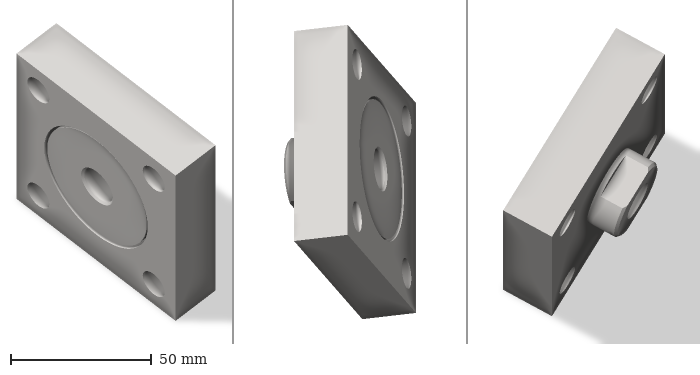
import cadquery as cq

plate_side = 80.0
plate_thickness = 20.0
front_y = 0.0
back_y = front_y + plate_thickness

corner_hole_diameter = 11.0
corner_hole_spacing = 58.0

recess_depth = 0.5
groove_outer_diameter = 52.0
groove_inner_diameter = 50.0
groove_depth = 10.0

boss_diameter = 30.0
boss_height = 12.0
boss_end_diameter = 28.0
boss_chamfer = (boss_diameter - boss_end_diameter) / 2
collar_height = 2.0
flats_width = 24.0

bore_diameter = 14.4
bore_mouth_diameter = 16.0
bore_chamfer = (bore_mouth_diameter - bore_diameter) / 2


def plane_at(y):
    """XZ plane at depth y whose normal points to +Y."""
    return cq.Workplane(cq.Plane(origin=(0, y, 0), xDir=(-1, 0, 0), normal=(0, 1, 0)))


def make_plate():
    return plane_at(front_y).rect(plate_side, plate_side).extrude(plate_thickness)


def make_boss():
    """Chamfered cylinder with its end narrowed between flats above and below."""
    boss = plane_at(back_y).circle(boss_diameter / 2).extrude(boss_height)
    boss = boss.faces(">Y").chamfer(boss_chamfer)
    collar = plane_at(back_y).circle(boss_diameter / 2).extrude(collar_height)
    between_flats = plane_at(back_y).rect(boss_diameter, flats_width).extrude(boss_height)
    return boss.intersect(between_flats).union(collar)


def make_corner_holes():
    return (
        plane_at(front_y)
        .rect(corner_hole_spacing, corner_hole_spacing, forConstruction=True)
        .vertices()
        .circle(corner_hole_diameter / 2)
        .extrude(plate_thickness)
    )


def make_recess():
    """Shallow round pocket plus the deeper ring groove just inside its wall."""
    pocket = plane_at(front_y).circle(groove_outer_diameter / 2).extrude(recess_depth)
    groove = (
        plane_at(front_y)
        .circle(groove_outer_diameter / 2)
        .circle(groove_inner_diameter / 2)
        .extrude(groove_depth)
    )
    return pocket.union(groove)


def make_bore():
    """Through bore plus the countersink that opens on the recess floor."""
    bore = plane_at(front_y).circle(bore_diameter / 2).extrude(plate_thickness + boss_height)
    countersink = cq.Solid.makeCone(
        bore_mouth_diameter / 2,
        bore_diameter / 2,
        bore_chamfer,
        pnt=cq.Vector(0, front_y + recess_depth, 0),
        dir=cq.Vector(0, 1, 0),
    )
    return bore.union(cq.Workplane(countersink))


result = make_plate().union(make_boss())
result = result.cut(make_corner_holes()).cut(make_recess()).cut(make_bore())